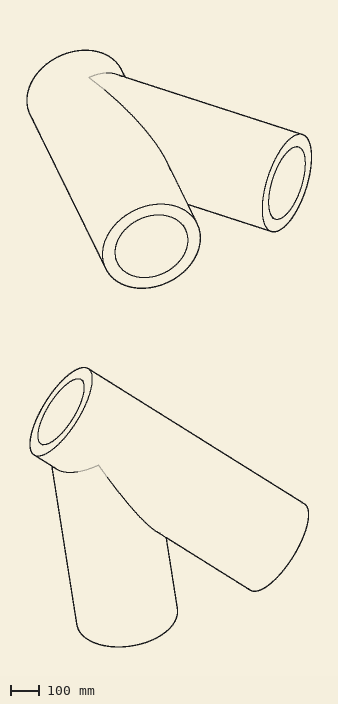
import cadquery as cq

outer_diameter = 355.0
bore_diameter = 264.0
run_length = 952.5
junction_offset = 165.0
branch_length = run_length - junction_offset
branch_angle = 45.0


def run_cylinder(diameter):
    """Cylinder along X, with the axis crossing at the origin."""
    return (
        cq.Workplane("YZ", origin=(-junction_offset, 0, 0))
        .circle(diameter / 2)
        .extrude(run_length)
    )


def branch_cylinder(diameter):
    """Cylinder from the axis crossing outward along the branch."""
    return (
        cq.Workplane("YZ")
        .circle(diameter / 2)
        .extrude(branch_length)
        .rotate((0, 0, 0), (0, 0, 1), branch_angle)
    )


def lateral(diameter):
    """Run and branch cylinders joined into one solid."""
    return run_cylinder(diameter).union(branch_cylinder(diameter))


result = lateral(outer_diameter).cut(lateral(bore_diameter))